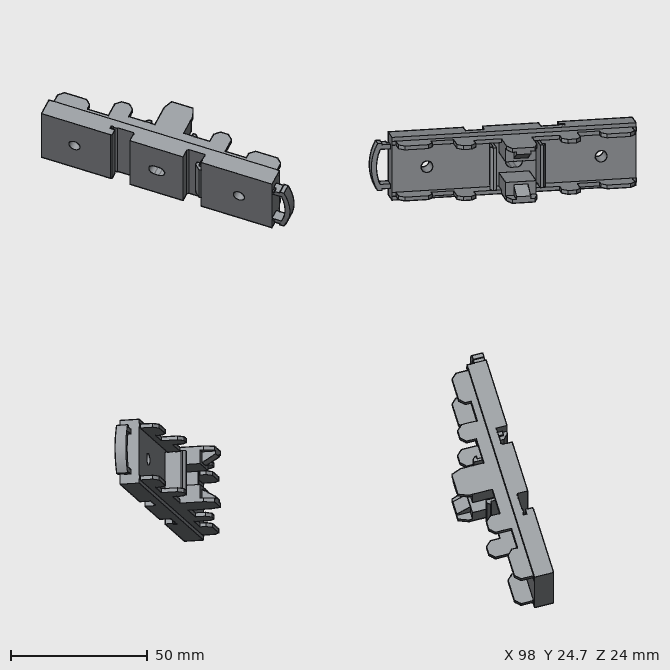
import cadquery as cq


bar_length = 90.9
bar_depth = 7.3
bar_height = 24.0
mid_x = bar_length / 2

slot_floor = 4.1
hook_slot_start = 27.8
hook_slot_end = 34.9
clip_slot_start = 55.9
clip_slot_end = 62.9
undercut_start = 25.9
undercut_floor = 2.9
ridge_start = 26.8
ridge_end = 28.4
ridge_height = 0.3
lip_bevel_length = 0.6
lip_bevel_depth = 0.2
hook_slot_corner = 0.3
clip_slot_corner = 0.6

hole_diameter = 4.3
hole_spacing = 32.4
oblong_length = 6.2

wall_outer_z = 10.5
wall_thickness = 1.5
wall_inner_z = wall_outer_z - wall_thickness
wall_base_top = 7.4
rail_low = 9.7
rail_high = 12.1
end_tab_outer = 44.0
end_tab_inner = 31.4
end_tab_top = 13.9
end_tab_bevel = 2.0
mid_tab_outer = 23.0
mid_tab_inner = 16.0
mid_tab_top = 17.7
mid_tab_bevel = 2.0
tower_half = 5.7
tower_top = 24.7
tower_bevel_x = 1.5
tower_bevel_y = 3.7

block_inner_z = 3.9
block_top = 19.6
gusset_tip_z = 8.0
gusset_foot_z = 5.0
gusset_half_width = 2.6

snap_half_height = 8.1
snap_inner = 8.3
snap_stem = 1.0
snap_reach = 2.2
snap_top = 15.2
snap_barb_bottom = 13.6
snap_barb_edge = 0.5
snap_barb_slope = 1.0

slider_half_height = 8.4
slider_narrow_half = 7.5
slider_step = 1.8
shoulder_length = 1.5
clip_reach = 2.9
clip_bottom = 0.1
clip_top = 3.3
clip_edge_bottom = 2.0
clip_foot_reach = 0.9
handle_end = 98.0
handle_arm_end = 94.0
handle_ear_end = 95.6
handle_ear_z = 9.0
handle_inner_z = 6.7
handle_inner_corner = 94.7
handle_inner_apex = 96.0
handle_notch = 0.9


def prism(points, z_low, z_high):
    """Extrude an outline in X and Y from one Z level to another."""
    return cq.Workplane("XY").workplane(offset=z_low).polyline(points).close().extrude(z_high - z_low)


def box(x_low, x_high, y_low, y_high, z_low, z_high):
    """Box given by its limits along X, Y and Z."""
    return cq.Workplane("XY").box(
        x_high - x_low, y_high - y_low, z_high - z_low, centered=False
    ).translate((x_low, y_low, z_low))


def both_sides(solid):
    """Join a solid with its copy mirrored in the plane Z = 0."""
    return solid.union(solid.mirror("XY"))


def make_bar():
    outline = [
        (0, 0),
        (hook_slot_start - lip_bevel_length, 0),
        (hook_slot_start, lip_bevel_depth),
        (hook_slot_start, undercut_floor),
        (undercut_start, undercut_floor),
        (undercut_start, slot_floor),
        (ridge_start, slot_floor),
        (ridge_start, slot_floor - ridge_height),
        (ridge_end, slot_floor - ridge_height),
        (ridge_end, slot_floor),
        (hook_slot_end - hook_slot_corner, slot_floor),
        (hook_slot_end, slot_floor - hook_slot_corner),
        (hook_slot_end, 0),
        (clip_slot_start, 0),
        (clip_slot_start, slot_floor - clip_slot_corner),
        (clip_slot_start + clip_slot_corner, slot_floor),
        (clip_slot_end, slot_floor),
        (clip_slot_end, 0),
        (bar_length, 0),
        (bar_length, bar_depth),
        (0, bar_depth),
    ]
    return prism(outline, -bar_height / 2, bar_height / 2)


def make_walls():
    half = [
        (mid_x, bar_depth),
        (mid_x, wall_base_top),
        (end_tab_outer, wall_base_top),
        (end_tab_outer, end_tab_top - end_tab_bevel),
        (end_tab_outer - end_tab_bevel, end_tab_top),
        (end_tab_inner + end_tab_bevel, end_tab_top),
        (end_tab_inner, end_tab_top - end_tab_bevel),
        (end_tab_inner, rail_low),
        (mid_tab_outer, rail_low),
        (mid_tab_outer, mid_tab_top - mid_tab_bevel),
        (mid_tab_outer - mid_tab_bevel, mid_tab_top),
        (mid_tab_inner + mid_tab_bevel, mid_tab_top),
        (mid_tab_inner, mid_tab_top - mid_tab_bevel),
        (mid_tab_inner, rail_high),
        (tower_half, rail_high),
        (tower_half, tower_top - tower_bevel_y),
        (tower_half - tower_bevel_x, tower_top),
    ]
    left = [(mid_x - distance, level) for distance, level in half]
    right = [(mid_x + distance, level) for distance, level in reversed(half)]
    return both_sides(prism(left + right, wall_inner_z, wall_outer_z))


def make_tower_supports():
    block = box(
        mid_x - tower_half, mid_x + tower_half, bar_depth, block_top, block_inner_z, wall_outer_z
    )
    gusset = (
        cq.Workplane("YZ")
        .workplane(offset=mid_x - gusset_half_width)
        .polyline([
            (block_top, wall_inner_z),
            (tower_top, wall_inner_z),
            (tower_top, gusset_tip_z),
            (block_top, gusset_foot_z),
        ])
        .close()
        .extrude(2 * gusset_half_width)
    )
    return both_sides(block.union(gusset))


def make_snap_hook(side):
    """Snap hook with its barb pointing to -X (side = -1) or +X (side = 1)."""
    stem_outer = snap_inner + snap_stem
    tip = snap_inner + snap_reach
    half = [
        (snap_inner, bar_depth),
        (stem_outer, bar_depth),
        (stem_outer, snap_barb_bottom),
        (tip, snap_barb_bottom),
        (tip, snap_barb_bottom + snap_barb_edge),
        (tip - snap_barb_slope, snap_top),
        (snap_inner, snap_top),
    ]
    outline = [(mid_x + side * distance, level) for distance, level in half]
    return prism(outline, -snap_half_height, snap_half_height)


def make_clip():
    latch_outline = [
        (clip_slot_end, clip_bottom),
        (clip_slot_end - clip_foot_reach, clip_bottom),
        (clip_slot_end - clip_reach, clip_edge_bottom),
        (clip_slot_end - clip_reach, clip_top),
        (clip_slot_end, clip_top),
    ]
    latch = prism(latch_outline, -slider_narrow_half, slider_narrow_half)
    shoulder = box(
        clip_slot_end - shoulder_length, clip_slot_end,
        slider_step, slot_floor,
        -slider_half_height, slider_half_height,
    )
    return latch.union(shoulder)


def make_handle():
    outer = (
        cq.Workplane("XZ")
        .moveTo(bar_length, -slider_half_height)
        .lineTo(handle_arm_end, -slider_half_height)
        .lineTo(handle_arm_end, -handle_ear_z)
        .lineTo(handle_ear_end, -handle_ear_z)
        .threePointArc((handle_end, 0), (handle_ear_end, handle_ear_z))
        .lineTo(handle_arm_end, handle_ear_z)
        .lineTo(handle_arm_end, slider_half_height)
        .lineTo(bar_length, slider_half_height)
        .close()
        .extrude(-slot_floor)
    )
    opening = (
        cq.Workplane("XZ")
        .moveTo(bar_length, -handle_inner_z)
        .lineTo(handle_inner_corner, -handle_inner_z)
        .threePointArc((handle_inner_apex, 0), (handle_inner_corner, handle_inner_z))
        .lineTo(bar_length, handle_inner_z)
        .close()
        .extrude(-slot_floor)
    )
    notches = both_sides(
        box(
            bar_length, bar_length + handle_notch,
            0, slider_step,
            slider_narrow_half, slider_half_height,
        )
    )
    return outer.cut(opening).cut(notches)


def make_holes():
    round_holes = (
        cq.Workplane("XZ")
        .pushPoints([(mid_x - hole_spacing, 0), (mid_x + hole_spacing, 0)])
        .circle(hole_diameter / 2)
        .extrude(-bar_depth)
    )
    oblong = cq.Workplane("XZ").center(mid_x, 0).slot2D(oblong_length, hole_diameter).extrude(-tower_top)
    return round_holes.union(oblong)


result = make_bar().union(make_walls()).union(make_tower_supports())
for hook_side in (-1, 1):
    result = result.union(make_snap_hook(hook_side))
result = result.union(make_clip()).union(make_handle()).cut(make_holes())